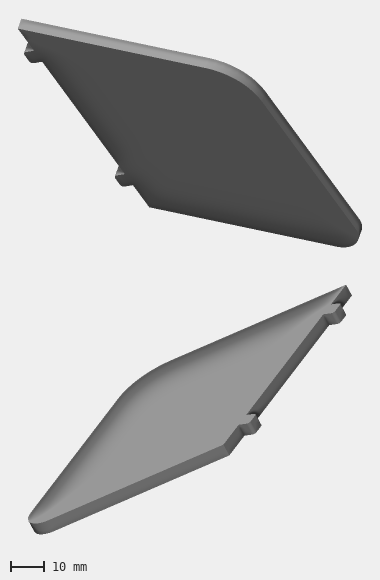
import cadquery as cq
import math

THICKNESS = 4.0
HEIGHT = 70.0
SLANT_EDGE_SPACING = 60.0
SLANT_ANGLE = math.radians(60.0)
TOP_CORNER_RADIUS = 20.0
BOTTOM_CORNER_RADIUS = TOP_CORNER_RADIUS / 3

TAB_WIDTH = 5.0
TAB_LENGTH = 4.0
TAB_CORNER_RADIUS = 1.0
TAB_END_DISTANCE = 10.0
TAB_ROOT_OVERLAP = 2.0

edge_width = SLANT_EDGE_SPACING / math.sin(SLANT_ANGLE)
slant_run = HEIGHT / math.tan(SLANT_ANGLE)
slant_length = HEIGHT / math.sin(SLANT_ANGLE)


def round_corner(plate, corner, radius):
    """Round the through-thickness edge nearest to an (x, z) corner."""
    x, z = corner
    edge_middle = (x, THICKNESS / 2, z)
    return plate.edges("|Y").edges(cq.selectors.NearestToPointSelector(edge_middle)).fillet(radius)


def make_plate():
    """Parallelogram plate with its two right-hand corners rounded."""
    top_left = (0, HEIGHT)
    top_right = (edge_width, HEIGHT)
    bottom_right = (edge_width + slant_run, 0)
    bottom_left = (slant_run, 0)
    plate = (
        cq.Workplane("XZ")
        .polyline([top_left, top_right, bottom_right, bottom_left])
        .close()
        .extrude(-THICKNESS)
    )
    plate = round_corner(plate, top_right, TOP_CORNER_RADIUS)
    return round_corner(plate, bottom_right, BOTTOM_CORNER_RADIUS)


def make_tab(distance_along_edge):
    """Tab centred at a distance down the left slanted edge from its top end."""
    edge_plane = cq.Plane(
        origin=(0, 0, HEIGHT),
        xDir=(math.cos(SLANT_ANGLE), 0, -math.sin(SLANT_ANGLE)),
        normal=(0, 1, 0),
    )
    body_length = TAB_LENGTH + TAB_ROOT_OVERLAP
    body_centre = (TAB_LENGTH - TAB_ROOT_OVERLAP) / 2
    return (
        cq.Workplane(edge_plane)
        .center(distance_along_edge, body_centre)
        .rect(TAB_WIDTH, body_length)
        .extrude(THICKNESS)
        .edges("|Y")
        .fillet(TAB_CORNER_RADIUS)
    )


result = make_plate()
first_tab_centre = TAB_END_DISTANCE + TAB_WIDTH / 2
for tab_centre in (first_tab_centre, slant_length - first_tab_centre):
    result = result.union(make_tab(tab_centre))